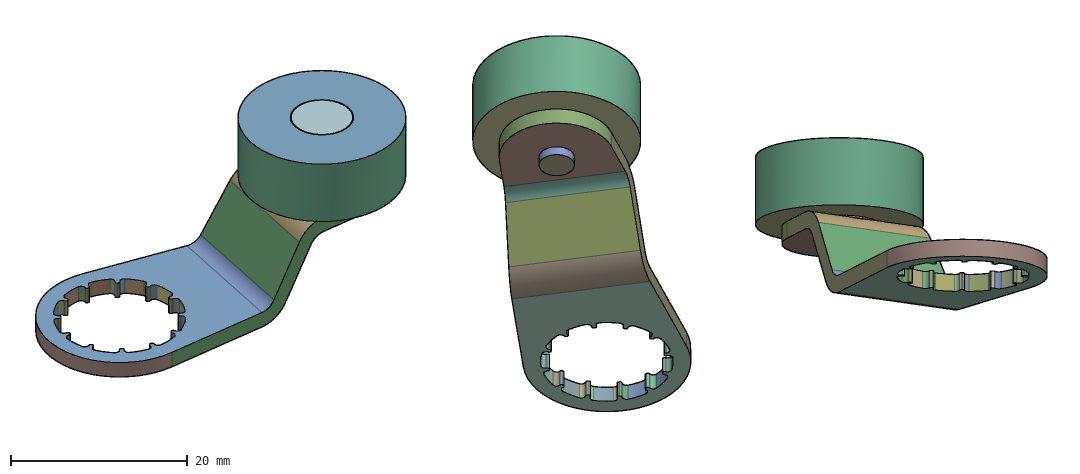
import cadquery as cq
import math


plate_thickness = 2.0
ring_diameter = 19.0
raised_end_diameter = 13.0
centre_distance = 27.0
raised_height = 9.3
slope_angle = 60
lower_bend_y = 14.0
inner_bend_radius = 2.0

opening_diameter = 15.0
tooth_count = 12
tooth_width = 0.55
tooth_height = 0.87
tooth_root_fillet = 0.5
tooth_tip_fillet = 0.25

roller_diameter = 19.0
roller_height = 7.8
roller_bore_diameter = 7.13

bore_clearance = 0.1
shank_diameter = 4.0
shank_projection = 1.1
shoulder_diameter = 9.15
shoulder_height = 0.28

ring_radius = ring_diameter / 2
raised_end_radius = raised_end_diameter / 2
arm_top = raised_height + plate_thickness
roller_bottom = arm_top + shoulder_height
journal_diameter = roller_bore_diameter - 2 * bore_clearance
outer_bend_radius = inner_bend_radius + plate_thickness


def disc(diameter, height, y, z):
    """Upright cylinder with its base centre at (0, y, z)."""
    return cq.Workplane("XY", origin=(0, y, z)).circle(diameter / 2).extrude(height)


def arm_outline():
    """Plan shape: two end circles joined by their common tangents, as a tall prism."""
    taper = (ring_radius - raised_end_radius) / centre_distance
    across = math.sqrt(1 - taper ** 2)
    ring_x = ring_radius * across
    ring_y = ring_radius * taper
    raised_x = raised_end_radius * across
    raised_y = centre_distance + raised_end_radius * taper
    return (
        cq.Workplane("XY")
        .moveTo(ring_x, ring_y)
        .lineTo(raised_x, raised_y)
        .threePointArc((0, centre_distance + raised_end_radius), (-raised_x, raised_y))
        .lineTo(-ring_x, ring_y)
        .threePointArc((0, -ring_radius), (ring_x, ring_y))
        .close()
        .extrude(arm_top)
    )


def bent_strip():
    """Constant-thickness strip with two opposite bends, as wide as the ring."""
    slope = math.radians(slope_angle)
    setback = math.tan(slope / 2)
    slope_run = raised_height / math.tan(slope)
    low_top_y = lower_bend_y + inner_bend_radius * setback
    low_under_y = lower_bend_y + outer_bend_radius * setback
    high_top_y = low_top_y + slope_run
    high_under_y = low_under_y + slope_run
    start_y = -ring_radius
    end_y = centre_distance + raised_end_radius
    strip = (
        cq.Workplane("YZ")
        .polyline([
            (start_y, 0),
            (low_under_y, 0),
            (high_under_y, raised_height),
            (end_y, raised_height),
            (end_y, arm_top),
            (high_top_y, arm_top),
            (low_top_y, plate_thickness),
            (start_y, plate_thickness),
        ])
        .close()
        .extrude(ring_radius, both=True)
    )

    def bend(body, y, z, radius):
        corner = cq.selectors.NearestToPointSelector((0, y, z))
        return body.edges("|X").edges(corner).fillet(radius)

    strip = bend(strip, low_under_y, 0, outer_bend_radius)
    strip = bend(strip, low_top_y, plate_thickness, inner_bend_radius)
    strip = bend(strip, high_under_y, raised_height, inner_bend_radius)
    return bend(strip, high_top_y, arm_top, outer_bend_radius)


def toothed_opening():
    """Cutter for the opening: a disc notched where the inward teeth remain."""
    opening_radius = opening_diameter / 2
    middle_radius = opening_radius - tooth_height / 2
    cutter = disc(opening_diameter, plate_thickness, 0, 0)
    tooth = (
        cq.Workplane("XY")
        .center(opening_radius, 0)
        .rect(2 * tooth_height, tooth_width)
        .extrude(plate_thickness)
    )
    for i in range(tooth_count):
        cutter = cutter.cut(tooth.rotate((0, 0, 0), (0, 0, 1), i * 360 / tooth_count))

    def edge_radius(edge):
        return math.hypot(edge.Center().x, edge.Center().y)

    tips = cutter.edges("|Z").filter(lambda edge: edge_radius(edge) < middle_radius)
    cutter = tips.fillet(tooth_tip_fillet)
    roots = cutter.edges("|Z").filter(lambda edge: edge_radius(edge) > middle_radius)
    return roots.fillet(tooth_root_fillet)


def make_arm():
    shank_hole = disc(shank_diameter, plate_thickness, centre_distance, raised_height)
    return bent_strip().intersect(arm_outline()).cut(toothed_opening()).cut(shank_hole)


def make_roller():
    bore = disc(roller_bore_diameter, roller_height, centre_distance, roller_bottom)
    return disc(roller_diameter, roller_height, centre_distance, roller_bottom).cut(bore)


def make_pin():
    shank_length = shank_projection + plate_thickness
    shank = disc(shank_diameter, shank_length, centre_distance, raised_height - shank_projection)
    shoulder = disc(shoulder_diameter, shoulder_height, centre_distance, arm_top)
    journal = disc(journal_diameter, roller_height, centre_distance, roller_bottom)
    return shank.union(shoulder).union(journal)


arm = make_arm()
roller = make_roller()
pin = make_pin()

result = cq.Compound.makeCompound([arm.val(), roller.val(), pin.val()])